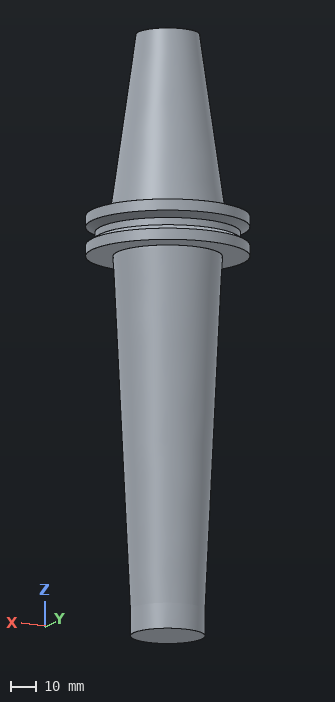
import cadquery as cq

total_height = 237.5
flange_top = 165.7
flange_thickness = 16.0
flange_bottom = flange_top - flange_thickness
collar_height = 1.0
nose_height = 10.0

flange_diameter = 63.6
groove_diameter = 56.3
shank_base_diameter = 45.0
shank_tip_diameter = 24.7
neck_diameter = 42.3
nose_diameter = 29.0

groove_mouth_width = 7.1
groove_floor_width = 2.8
groove_center = flange_bottom + flange_thickness / 2


def tapered_shank():
    """Cone above the flange, narrowing upward."""
    return (
        cq.Workplane("XY", origin=(0, 0, flange_top))
        .circle(shank_base_diameter / 2)
        .workplane(offset=total_height - flange_top)
        .circle(shank_tip_diameter / 2)
        .loft(ruled=True)
    )


def grooved_flange():
    """Disc with a flat-bottomed V-groove in its rim."""
    disc = (
        cq.Workplane("XY", origin=(0, 0, flange_bottom))
        .circle(flange_diameter / 2)
        .extrude(flange_thickness)
    )
    rim_radius = flange_diameter / 2
    floor_radius = groove_diameter / 2
    groove = (
        cq.Workplane("XZ")
        .moveTo(rim_radius, groove_center - groove_mouth_width / 2)
        .lineTo(floor_radius, groove_center - groove_floor_width / 2)
        .lineTo(floor_radius, groove_center + groove_floor_width / 2)
        .lineTo(rim_radius, groove_center + groove_mouth_width / 2)
        .close()
        .revolve(360, (0, 0), (0, 1))
    )
    return disc.cut(groove)


def tool_neck():
    """Straight nose, long taper and short straight collar below the flange."""
    collar_bottom = flange_bottom - collar_height
    return (
        cq.Workplane("XZ")
        .lineTo(nose_diameter / 2, 0)
        .lineTo(nose_diameter / 2, nose_height)
        .lineTo(neck_diameter / 2, collar_bottom)
        .lineTo(neck_diameter / 2, flange_bottom)
        .lineTo(0, flange_bottom)
        .close()
        .revolve(360, (0, 0), (0, 1))
    )


result = tool_neck().union(grooved_flange()).union(tapered_shank())